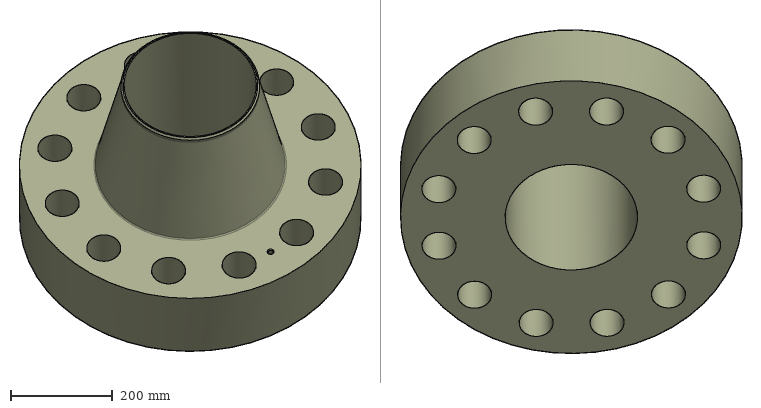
import cadquery as cq
import math

flange_diameter = 673.0
flange_thickness = 167.0
overall_height = 419.0

bore_diameter = 260.5
hub_base_diameter = 375.0
neck_diameter = 273.0
neck_length = 6.0
land_diameter = 266.0
bevel_height = 4.0
hub_foot_radius = 3.0

bolt_count = 12
bolt_circle_diameter = 540.0
bolt_hole_diameter = 66.5

mouth_diameter = 13.5
upper_diameter = 9.5
upper_depth = 27.0
lower_diameter = 5.5
lower_depth = 30.0
drill_point_angle = 118.0


def flange_body():
    """Flange and hub as one revolved outline around the open bore."""
    bore_radius = bore_diameter / 2
    bevel_start = overall_height - bevel_height
    taper_end = bevel_start - neck_length
    outline = [
        (bore_radius, 0),
        (flange_diameter / 2, 0),
        (flange_diameter / 2, flange_thickness),
        (hub_base_diameter / 2, flange_thickness),
        (neck_diameter / 2, taper_end),
        (neck_diameter / 2, bevel_start),
        (land_diameter / 2, overall_height),
        (bore_radius, overall_height),
    ]
    body = cq.Workplane("XZ").polyline(outline).close().revolve(360, (0, 0, 0), (0, 1, 0))
    flange_top = body.faces("|Z").faces(">Z[-2]")
    hub_foot = flange_top.edges(cq.selectors.RadiusNthSelector(0))
    return hub_foot.fillet(hub_foot_radius)


def bolt_holes():
    """Through holes evenly spaced on the bolt circle, the first on the +X axis."""
    return (
        cq.Workplane("XY")
        .polarArray(bolt_circle_diameter / 2, 0, 360, bolt_count)
        .circle(bolt_hole_diameter / 2)
        .extrude(flange_thickness)
    )


def stepped_hole():
    """Blind hole in the flange top: 45 degree countersink, two bores and a drill point."""
    mouth_radius = mouth_diameter / 2
    upper_radius = upper_diameter / 2
    lower_radius = lower_diameter / 2
    countersink_depth = mouth_radius - upper_radius
    tip_depth = lower_depth + lower_radius / math.tan(math.radians(drill_point_angle / 2))
    outline = [
        (0, 0),
        (mouth_radius, 0),
        (upper_radius, -countersink_depth),
        (upper_radius, -upper_depth),
        (lower_radius, -upper_depth),
        (lower_radius, -lower_depth),
        (0, -tip_depth),
    ]
    hole = cq.Workplane("XZ").polyline(outline).close().revolve(360, (0, 0, 0), (0, 1, 0))
    half_pitch_angle = 180 / bolt_count
    placed = hole.translate((bolt_circle_diameter / 2, 0, flange_thickness))
    return placed.rotate((0, 0, 0), (0, 0, 1), half_pitch_angle)


result = flange_body().cut(bolt_holes()).cut(stepped_hole())